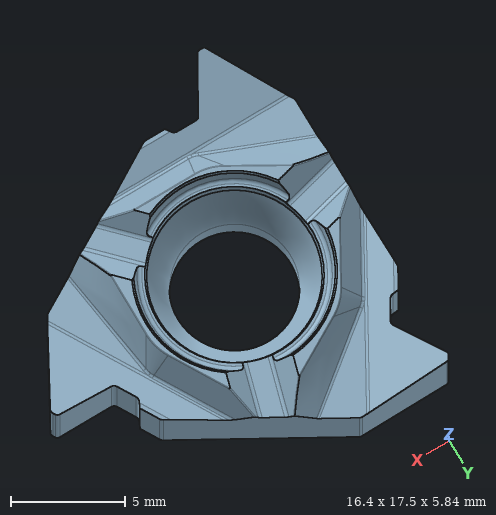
import cadquery as cq
import math

TOOTH_COUNT = 3
TOOTH_PITCH = 360 / TOOTH_COUNT
HEIGHT = 5.83
MARGIN = 1.75

SIDE_OFFSET = 6.36
HEEL_Y = -5.41
TIP_Y = -9.3
CREST_LEFT = -4.05
CREST_RIGHT = -3.7
SHORT_FLANK_ANGLE = 60.0
ROOT_Y = -6.8
STEP_Y = -7.17
STEP_FOOT_X = -0.75
STEP_FLANK_ANGLE = 55.0
HEEL_RADIUS = 0.25
CREST_RADIUS = 0.2
ROOT_RADIUS = 0.25
STEP_ROOT_RADIUS = 0.28
STEP_END_RADIUS = 0.32

FLOOR_Z = 4.59
RAKE_START_Y = -5.73
RAKE_ANGLE = 15.0
RAKE_BLEND = 0.53
WALL_FOOT_END_Y = -3.52
WALL_FOOT_BEND = 0.21
WALL_FOOT_CORNER = (-1.2, -5.59)
WALL_TOP_END_Y = -1.75
WALL_TOP_BEND = 0.7
WALL_TOP_CORNER = (-1.45, -4.65)
FOOT_BLEND = 0.18
HUB_EDGE_ROUND = 0.05
HUB_EDGE_MIN_LENGTH = 1.05
CAP_LEFT = -1.05
STEP_CAP_Y = -6.95

GROOVE_ANGLE = 194.0
GROOVE_Z = 5.05
GROOVE_HALF_WIDTH = 0.58
GROOVE_SLOPE = 40.0
GROOVE_BLEND = 0.28

BORE_RADIUS = 5.7 / 2
FLARE_BOTTOM_Z = 1.96
FLARE_TOP_Z = 4.73
FLARE_TOP_RADIUS = 3.84
LIP_RADIUS = 3.92
LEDGE_Z = 5.13
LEDGE_OUTER_RADIUS = 4.06
RECESS_FOOT = (4.27, 5.25)
RECESS_TOP = (4.42, 5.73)
RECESS_RIM_RADIUS = 4.5


def rotated(point, degrees):
    angle = math.radians(degrees)
    x, y = point
    return (x * math.cos(angle) - y * math.sin(angle), x * math.sin(angle) + y * math.cos(angle))


def around(shape):
    """Copies of a shape at every tooth."""
    return [shape.rotate((0, 0, 0), (0, 0, 1), i * TOOTH_PITCH) for i in range(TOOTH_COUNT)]


def side_x(y):
    """X of the lower right straight side at a given Y."""
    normal = math.radians(180 - TOOTH_PITCH)
    return (SIDE_OFFSET + y * math.sin(normal)) / math.cos(normal)


def make_blank():
    root_x = CREST_RIGHT + (ROOT_Y - TIP_Y) / math.tan(math.radians(SHORT_FLANK_ANGLE))
    step_root_x = STEP_FOOT_X - (ROOT_Y - STEP_Y) / math.tan(math.radians(STEP_FLANK_ANGLE))
    corners = [
        ((-SIDE_OFFSET, HEEL_Y), HEEL_RADIUS),
        ((CREST_LEFT, TIP_Y), CREST_RADIUS),
        ((CREST_RIGHT, TIP_Y), CREST_RADIUS),
        ((root_x, ROOT_Y), ROOT_RADIUS),
        ((step_root_x, ROOT_Y), STEP_ROOT_RADIUS),
        ((STEP_FOOT_X, STEP_Y), 0),
        ((side_x(STEP_Y), STEP_Y), STEP_END_RADIUS),
    ]
    outline = [rotated(p, i * TOOTH_PITCH) for i in range(TOOTH_COUNT) for p, _ in corners]
    blank = cq.Workplane("XY").polyline(outline).close().extrude(HEIGHT)
    for point, radius in corners:
        if radius:
            for i in range(TOOTH_COUNT):
                x, y = rotated(point, i * TOOTH_PITCH)
                edge = cq.selectors.NearestToPointSelector((x, y, HEIGHT / 2))
                blank = blank.edges(edge).fillet(radius)
    return blank


def wall_outline(plane, end_y, corner, bend):
    """Plan of the chip breaker at one level: two wall lines joined by an arc, closed outside the body."""
    corner_x, corner_y = corner
    slope = (end_y - corner_y) / (-SIDE_OFFSET - corner_x)
    bend_run = bend / math.hypot(1, slope)
    left = -SIDE_OFFSET - MARGIN
    right = SIDE_OFFSET
    low = TIP_Y - MARGIN
    return (
        plane.moveTo(left, end_y - slope * MARGIN)
        .lineTo(corner_x - bend_run, corner_y - slope * bend_run)
        .tangentArcPoint((bend_run + bend, slope * bend_run))
        .lineTo(right, corner_y)
        .lineTo(right, low)
        .lineTo(left, low)
        .close()
    )


def is_wall_foot(edge):
    """True for the floor edges that lie under the hub wall."""
    across = abs(edge.startPoint().x - edge.endPoint().x) > FOOT_BLEND
    return across and edge.Center().y > WALL_FOOT_CORNER[1] - FOOT_BLEND / 10


def is_hub_edge(edge):
    """True for the edges along the top of the hub walls, including where the grooves cut them."""
    center = edge.Center()
    outside_recess = math.hypot(center.x, center.y) > RECESS_RIM_RADIUS
    lowest = edge.BoundingBox().zmin
    return outside_recess and lowest > LEDGE_Z and edge.Length() > HUB_EDGE_MIN_LENGTH


def make_chip_breaker():
    foot_plane = cq.Workplane("XY", origin=(0, 0, FLOOR_Z))
    foot = wall_outline(foot_plane, WALL_FOOT_END_Y, WALL_FOOT_CORNER, WALL_FOOT_BEND)
    top_plane = foot.workplane(offset=HEIGHT - FLOOR_Z)
    top = wall_outline(top_plane, WALL_TOP_END_Y, WALL_TOP_CORNER, WALL_TOP_BEND)
    walls = top.loft(ruled=True)

    rake_run = RAKE_START_Y - TIP_Y + 2 * MARGIN
    rake_rise = math.tan(math.radians(RAKE_ANGLE))
    rake = (
        cq.Workplane("YZ")
        .moveTo(RAKE_START_Y, FLOOR_Z)
        .lineTo(RAKE_START_Y - rake_run, FLOOR_Z)
        .lineTo(RAKE_START_Y - rake_run, FLOOR_Z + rake_run * rake_rise)
        .close()
        .extrude(2 * SIDE_OFFSET + 2 * MARGIN, both=True)
    )
    cutter = walls.cut(rake)
    edge = cq.selectors.NearestToPointSelector((0, RAKE_START_Y, FLOOR_Z))
    cutter = cutter.edges(edge).fillet(RAKE_BLEND)
    cutter = cutter.faces("<Z").edges().filter(is_wall_foot).fillet(FOOT_BLEND)

    cap_z = FLOOR_Z + (RAKE_START_Y - STEP_CAP_Y) * rake_rise
    cap = (
        cq.Workplane("XY", origin=(0, 0, cap_z))
        .moveTo(CAP_LEFT, STEP_CAP_Y)
        .lineTo(SIDE_OFFSET, STEP_CAP_Y)
        .lineTo(SIDE_OFFSET, STEP_Y - MARGIN)
        .lineTo(CAP_LEFT, STEP_Y - MARGIN)
        .close()
        .extrude(HEIGHT - cap_z)
    )
    return cutter.union(cap)


def make_groove():
    depth = HEIGHT - GROOVE_Z
    top_half = GROOVE_HALF_WIDTH + depth / math.tan(math.radians(GROOVE_SLOPE))
    groove = (
        cq.Workplane("YZ")
        .polyline([
            (-GROOVE_HALF_WIDTH, GROOVE_Z),
            (GROOVE_HALF_WIDTH, GROOVE_Z),
            (top_half, HEIGHT),
            (-top_half, HEIGHT),
        ])
        .close()
        .extrude(SIDE_OFFSET + MARGIN)
        .edges("|X and <Z").fillet(GROOVE_BLEND)
    )
    return groove.rotate((0, 0, 0), (0, 0, 1), GROOVE_ANGLE)


def make_bore():
    run = FLARE_TOP_RADIUS - BORE_RADIUS
    rise = FLARE_TOP_Z - FLARE_BOTTOM_Z
    return (
        cq.Workplane("XZ")
        .moveTo(0, 0)
        .lineTo(BORE_RADIUS, 0)
        .lineTo(BORE_RADIUS, FLARE_BOTTOM_Z)
        .tangentArcPoint((run, rise))
        .lineTo(LIP_RADIUS, LEDGE_Z)
        .lineTo(LEDGE_OUTER_RADIUS, LEDGE_Z)
        .tangentArcPoint(RECESS_FOOT, relative=False)
        .lineTo(*RECESS_TOP)
        .lineTo(RECESS_RIM_RADIUS, HEIGHT)
        .lineTo(0, HEIGHT)
        .close()
        .revolve(360, (0, 0, 0), (0, 1, 0))
    )


result = make_blank().cut(make_bore())
for tool in (make_chip_breaker(), make_groove()):
    for copy in around(tool):
        result = result.cut(copy)
result = result.edges().filter(is_hub_edge).fillet(HUB_EDGE_ROUND).solids()